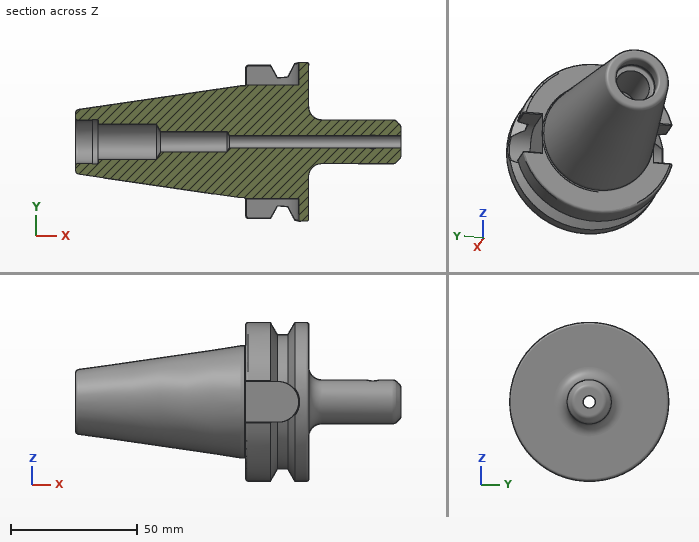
import cadquery as cq
import math


gauge_radius = 44.45 / 2
taper_length = 65.4
taper_half_ratio = 7 / 24 / 2
taper_end_fillet = 1.5
taper_end_radius = gauge_radius - taper_length * taper_half_ratio
collar_length = 2.0
collar_fillet = 0.5

flange_radius = 63 / 2
flange_end = 27.0
flange_edge_fillet = 1.0
groove_center = 16.6
groove_half_width = 4.85
groove_floor_radius = 53.4 / 2
groove_wall_angle = 30
groove_wall_run = (flange_radius - groove_floor_radius) * math.tan(math.radians(groove_wall_angle))
groove_floor_half_width = groove_half_width - groove_wall_run

slot_width = 16.1
slot_floor_offset = 22.6
slot_end = 22.95
slot_rim_chamfer = 0.4

shank_radius = 17.5 / 2
shank_end = 63.5
shank_root_fillet = 5.0
shank_tip_chamfer = 2.45
shank_tip_fillet = 2.0

pilot_radius = 17 / 2
pilot_mouth_fillet = 1.0
undercut_radius = 17.53 / 2
undercut_start = 6.85
undercut_end = 9.0
undercut_fillet = 0.5
thread_radius = 13.84 / 2
thread_depth = 32.0
relief_radius = 8 / 2
relief_depth = 60.0
coolant_radius = 4.76 / 2
drill_tip_half_angle = 59

cross_hole_diameter = 5.36
cross_hole_x = 52.3


def make_body():
    """Revolve the outer shape, then round its edges."""
    profile = [
        (-taper_length, 0),
        (-taper_length, taper_end_radius),
        (0, gauge_radius),
        (collar_length, gauge_radius),
        (collar_length, flange_radius),
        (groove_center - groove_half_width, flange_radius),
        (groove_center - groove_floor_half_width, groove_floor_radius),
        (groove_center + groove_floor_half_width, groove_floor_radius),
        (groove_center + groove_half_width, flange_radius),
        (flange_end, flange_radius),
        (flange_end, shank_radius),
        (shank_end - shank_tip_chamfer, shank_radius),
        (shank_end, shank_radius - shank_tip_chamfer),
        (shank_end, 0),
    ]
    body = revolve_about_axis(profile)
    rounded_edges = [
        (-taper_length, taper_end_radius, taper_end_fillet),
        (collar_length, gauge_radius, collar_fillet),
        (collar_length, flange_radius, flange_edge_fillet),
        (flange_end, flange_radius, flange_edge_fillet),
        (flange_end, shank_radius, shank_root_fillet),
        (shank_end - shank_tip_chamfer, shank_radius, shank_tip_fillet),
        (shank_end, shank_radius - shank_tip_chamfer, shank_tip_fillet),
    ]
    for x, edge_radius, fillet_radius in rounded_edges:
        body = round_edge(body, x, edge_radius, fillet_radius)
    return body


def round_edge(body, x, edge_radius, fillet_radius):
    """Fillet the circular edge of the given radius at station x."""
    margin = 0.01
    outer = edge_radius + margin
    selector = cq.selectors.BoxSelector((x - margin, -outer, -outer), (x + margin, outer, outer), True)
    circles = [
        edge
        for edge in body.edges(selector).edges("%CIRCLE").vals()
        if abs(edge.radius() - edge_radius) < margin
    ]
    return body.newObject(circles).fillet(fillet_radius)


def drill_tip_length(large_radius, small_radius):
    """Length of the cone left by a drill point between two radii."""
    return (large_radius - small_radius) / math.tan(math.radians(drill_tip_half_angle))


def revolve_about_axis(profile):
    """Solid of revolution about X from (x, radius) points."""
    return cq.Workplane("XY").polyline(profile).close().revolve(360, (0, 0, 0), (1, 0, 0))


def make_bore():
    """Stepped bore from the small end of the taper through to the shank end."""
    start = -taper_length
    thread_end = start + thread_depth
    relief_start = thread_end + drill_tip_length(thread_radius, relief_radius)
    relief_end = start + relief_depth
    coolant_start = relief_end + drill_tip_length(relief_radius, coolant_radius)
    profile = [
        (start, 0),
        (start, pilot_radius),
        (start + undercut_start, pilot_radius),
        (start + undercut_start, undercut_radius),
        (start + undercut_end, undercut_radius),
        (start + undercut_end, thread_radius),
        (thread_end, thread_radius),
        (relief_start, relief_radius),
        (relief_end, relief_radius),
        (coolant_start, coolant_radius),
        (shank_end, coolant_radius),
        (shank_end, 0),
    ]
    bore = revolve_about_axis(profile)
    return round_edge(bore, start + undercut_end, undercut_radius, undercut_fillet)


def make_drive_slot(side):
    """Round-ended drive slot on the +Y (side = 1) or -Y (side = -1) flank of the flange."""
    end_radius = slot_width / 2
    straight_length = slot_end - end_radius - collar_length
    slot_depth = flange_radius - slot_floor_offset
    outline = (
        cq.Workplane("XZ", origin=(0, side * slot_floor_offset, 0))
        .moveTo(collar_length, -end_radius)
        .hLine(straight_length)
        .threePointArc((slot_end, 0), (slot_end - end_radius, end_radius))
        .hLine(-straight_length)
        .close()
    )
    return outline.extrude(-side * slot_depth)


def chamfer_slot_rim(body, side):
    """Break the slot edges on the flange face and on the flange outside diameter."""
    margin = 0.05
    half_width = slot_width / 2
    on_rim = []
    for edge in body.edges().vals():
        middle = edge.positionAt(0.5)
        if side * middle.y < slot_floor_offset + margin:
            continue
        on_wall = abs(abs(middle.z) - half_width) < margin
        on_outside = math.hypot(middle.y, middle.z) > flange_radius - margin
        on_front = middle.x < collar_length + flange_edge_fillet
        in_slot_end = groove_center < middle.x < slot_end + margin and abs(middle.z) < half_width
        if (on_wall and (on_front or on_outside)) or (in_slot_end and on_outside):
            on_rim.append(edge)
    return body.newObject(on_rim).chamfer(slot_rim_chamfer)


def make_cross_hole():
    """Radial hole from the top of the shank down to the coolant bore."""
    return (
        cq.Workplane("XY")
        .center(cross_hole_x, 0)
        .circle(cross_hole_diameter / 2)
        .extrude(shank_radius)
    )


result = make_body().cut(make_bore())
result = round_edge(result, -taper_length, pilot_radius, pilot_mouth_fillet)
for side in (1, -1):
    result = result.cut(make_drive_slot(side))
    result = chamfer_slot_rim(result, side)
result = result.cut(make_cross_hole())